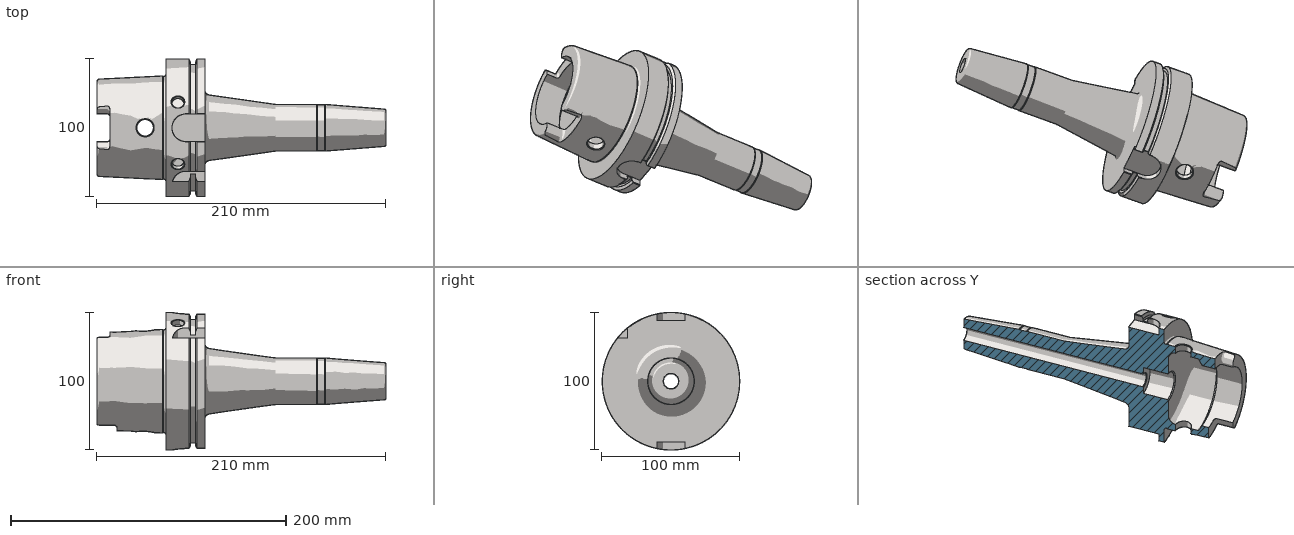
import cadquery as cq
import math


selection_margin = 1.0

total_length = 210.0
taper_end = 47.6
flange_start = 50.0
flange_end = 78.5
neck_cone_end = 129.8
nose_start = 165.9

taper_end_radius = 75.36 / 2
taper_slope = 0.0495
shank_tip_fillet = 2.0
relief_radius = 37.3
relief_chamfer = 0.8
root_fillet = 1.5

flange_radius = 50.0
groove_start = 66.7
groove_end = 72.8
groove_side_width = 1.2
groove_side_angle = 60.0
groove_radius = 46.0

neck_radius = 17.0
neck_cone_angle = 8.1
neck_fillet = 3.5
nose_tip_radius = 13.5
nose_fillet = 1.5
ring_width = 6.6
ring_side_width = 0.7
ring_depth = (34.0 - 33.49) / 2

bore_radius = 53.0 / 2
bore_straight_depth = 20.0
undercut_radius = 63.0 / 2
undercut_entry_angle = 60.0
undercut_end = 40.3
bore_floor_fillet = 6.3
thread_bore_radius = 22.38 / 2
thread_depth = 20.0
thread_bore_mouth_radius = 24.0 / 2
through_radius = 10.92 / 2
through_mouth_radius = 12.0 / 2

slot_half_width = 10.0
slot_edge_radius = 6.0
slot_edge_height = 32.0
slot_floor_fillet = 2.0
upper_slot_depth = 9.5
lower_slot_depth = 14.5

cross_hole_diameter = 12.0
cross_hole_x = 35.0
cross_hole_chamfer = 0.6

keyway_radius = 10.0
keyway_centre_x = 64.5
keyway_floor = 44.0
keyway_chamfer = 0.5
notch_wall_y = -31.6
notch_floor = 31.5

rim_hole_diameter = 9.0
rim_hole_point_angle = 118.0
rim_hole_depth = 4.6
rim_hole_x = 58.8
rim_hole_chamfer = 0.3
flat_hole_angle = 22.0
drilled_hole_angle = -32.0


def outer_body():
    """Turned outside of the holder. Every fillet meets its cone at a tangent."""
    tip_angle = math.atan(taper_slope)
    tip_tangent_x = shank_tip_fillet * (1 - math.sin(tip_angle))
    tip_tangent_radius = taper_end_radius - taper_slope * (taper_end - tip_tangent_x)
    tip_face_radius = tip_tangent_radius - shank_tip_fillet * math.cos(tip_angle)

    relief_start = taper_end + relief_chamfer
    groove_side_height = groove_side_width * math.tan(math.radians(groove_side_angle))
    groove_wall_radius = flange_radius - groove_side_height

    neck_angle = math.radians(neck_cone_angle)
    cone_start = flange_end + neck_fillet * (1 - math.sin(neck_angle))
    cone_start_radius = neck_radius + (neck_cone_end - cone_start) * math.tan(neck_angle)
    neck_root_radius = cone_start_radius + neck_fillet * math.cos(neck_angle)

    ring_end = nose_start
    ring_start = ring_end - ring_width
    nose_slope = (neck_radius - nose_tip_radius) / (total_length - nose_start)
    nose_angle = math.atan(nose_slope)
    nose_setback = nose_fillet * (1 - math.sin(nose_angle))
    nose_tangent_radius = nose_tip_radius + nose_slope * nose_setback
    nose_face_radius = nose_tangent_radius - nose_fillet * math.cos(nose_angle)

    profile = (
        cq.Workplane("XY")
        .moveTo(0, 0)
        .lineTo(0, tip_face_radius)
        .radiusArc((tip_tangent_x, tip_tangent_radius), shank_tip_fillet)
        .lineTo(taper_end, taper_end_radius)
        .lineTo(relief_start, relief_radius)
        .lineTo(flange_start - root_fillet, relief_radius)
        .radiusArc((flange_start, relief_radius + root_fillet), -root_fillet)
        .lineTo(flange_start, flange_radius)
        .lineTo(groove_start, flange_radius)
        .lineTo(groove_start + groove_side_width, groove_wall_radius)
        .lineTo(groove_start + groove_side_width, groove_radius)
        .lineTo(groove_end - groove_side_width, groove_radius)
        .lineTo(groove_end - groove_side_width, groove_wall_radius)
        .lineTo(groove_end, flange_radius)
        .lineTo(flange_end, flange_radius)
        .lineTo(flange_end, neck_root_radius)
        .radiusArc((cone_start, cone_start_radius), -neck_fillet)
        .lineTo(neck_cone_end, neck_radius)
        .lineTo(ring_start, neck_radius)
        .lineTo(ring_start + ring_side_width, neck_radius - ring_depth)
        .lineTo(ring_end - ring_side_width, neck_radius - ring_depth)
        .lineTo(ring_end, neck_radius)
        .lineTo(total_length - nose_setback, nose_tangent_radius)
        .radiusArc((total_length, nose_face_radius), nose_fillet)
        .lineTo(total_length, 0)
        .close()
    )
    return profile.revolve(360, (0, 0, 0), (1, 0, 0))


def axial_bores():
    """Clamping bore with undercut, threaded bore and through hole, as one turned cutter."""
    undercut_rise = undercut_radius - bore_radius
    undercut_start = bore_straight_depth + undercut_rise / math.tan(math.radians(undercut_entry_angle))
    bore_floor_x = undercut_end + bore_floor_fillet
    bore_floor_radius = undercut_radius - bore_floor_fillet
    thread_chamfer = thread_bore_mouth_radius - thread_bore_radius
    thread_bore_end = bore_floor_x + thread_depth
    through_chamfer = through_mouth_radius - through_radius
    profile = (
        cq.Workplane("XY")
        .moveTo(0, 0)
        .lineTo(0, bore_radius)
        .lineTo(bore_straight_depth, bore_radius)
        .lineTo(undercut_start, undercut_radius)
        .lineTo(undercut_end, undercut_radius)
        .radiusArc((bore_floor_x, bore_floor_radius), bore_floor_fillet)
        .lineTo(bore_floor_x, thread_bore_mouth_radius)
        .lineTo(bore_floor_x + thread_chamfer, thread_bore_radius)
        .lineTo(thread_bore_end, thread_bore_radius)
        .lineTo(thread_bore_end, through_mouth_radius)
        .lineTo(thread_bore_end + through_chamfer, through_radius)
        .lineTo(total_length, through_radius)
        .lineTo(total_length, 0)
        .close()
    )
    return profile.revolve(360, (0, 0, 0), (1, 0, 0))


def drive_slot(depth):
    """Slot across the upper side of the shank mouth with rounded outer edges."""
    outside = flange_radius
    edge_y = slot_half_width + slot_edge_radius
    wall_top = slot_edge_height - slot_edge_radius
    profile = (
        cq.Workplane("YZ")
        .moveTo(-slot_half_width, 0)
        .lineTo(-slot_half_width, wall_top)
        .radiusArc((-edge_y, slot_edge_height), -slot_edge_radius)
        .lineTo(-outside, slot_edge_height)
        .lineTo(-outside, outside)
        .lineTo(outside, outside)
        .lineTo(outside, slot_edge_height)
        .lineTo(edge_y, slot_edge_height)
        .radiusArc((slot_half_width, wall_top), -slot_edge_radius)
        .lineTo(slot_half_width, 0)
        .close()
    )
    cutter = profile.extrude(depth)
    walls = cq.selectors.BoxSelector(
        (depth - selection_margin, -edge_y, selection_margin),
        (depth + selection_margin, edge_y, slot_edge_height - selection_margin),
    )
    return cutter.edges(walls).fillet(slot_floor_fillet)


def flange_keyway(centre_y, floor):
    """Round-ended pocket, open to the neck side of the flange and upwards from its floor."""
    height = flange_radius - floor
    run_out = flange_end - keyway_centre_x
    end = (
        cq.Workplane("XY", origin=(keyway_centre_x, centre_y, floor))
        .circle(keyway_radius)
        .extrude(height)
    )
    straight = (
        cq.Workplane("XY", origin=(keyway_centre_x + run_out / 2, centre_y, floor))
        .rect(run_out, 2 * keyway_radius)
        .extrude(height)
    )
    return end.union(straight)


def keyway_mouth_chamfer():
    """Prism that breaks the two straight upper edges of a keyway on the axis."""
    edge_height = math.sqrt(flange_radius**2 - keyway_radius**2)
    top_half_width = keyway_radius + keyway_chamfer + flange_radius - edge_height
    profile = (
        cq.Workplane("YZ", origin=(keyway_centre_x, 0, 0))
        .moveTo(-keyway_radius, edge_height - keyway_chamfer)
        .lineTo(keyway_radius, edge_height - keyway_chamfer)
        .lineTo(top_half_width, flange_radius)
        .lineTo(-top_half_width, flange_radius)
        .close()
    )
    return profile.extrude(flange_end - keyway_centre_x)


def rim_hole(angle, point_depth):
    """Blind hole with a chamfered mouth and a conical point below its full-diameter depth."""
    radius = rim_hole_diameter / 2
    shoulder = flange_radius - rim_hole_depth
    mouth_height = math.sqrt(flange_radius**2 - radius**2)
    above = flange_radius + rim_hole_chamfer
    profile = (
        cq.Workplane("XZ", origin=(rim_hole_x, 0, 0))
        .moveTo(0, shoulder - point_depth)
        .lineTo(radius, shoulder)
        .lineTo(radius, mouth_height - rim_hole_chamfer)
        .lineTo(radius + above - mouth_height + rim_hole_chamfer, above)
        .lineTo(0, above)
        .close()
    )
    hole = profile.revolve(360, (0, 0, 0), (0, 1, 0))
    return hole.rotate((0, 0, 0), (1, 0, 0), -angle)


def cross_hole():
    return (
        cq.Workplane("XY", origin=(cross_hole_x, 0, 0))
        .circle(cross_hole_diameter / 2)
        .extrude(flange_radius, both=True)
    )


def cross_hole_mouths():
    """Selector for the two edges where the cross hole leaves the shank taper."""
    reach = cross_hole_diameter / 2 + selection_margin
    upper = cq.selectors.BoxSelector(
        (cross_hole_x - reach, -reach, undercut_radius + selection_margin),
        (cross_hole_x + reach, reach, flange_radius),
    )
    lower = cq.selectors.BoxSelector(
        (cross_hole_x - reach, -reach, -flange_radius),
        (cross_hole_x + reach, reach, -undercut_radius - selection_margin),
    )
    return upper + lower


def turned_over(shape):
    """The shape turned half a turn about the axis."""
    return shape.rotate((0, 0, 0), (1, 0, 0), 180)


result = outer_body().cut(axial_bores()).cut(cross_hole())
result = result.edges(cross_hole_mouths()).chamfer(cross_hole_chamfer)
result = result.cut(drive_slot(upper_slot_depth))
result = result.cut(turned_over(drive_slot(lower_slot_depth)))

keyway = flange_keyway(0, keyway_floor).union(keyway_mouth_chamfer())
result = result.cut(keyway).cut(turned_over(keyway))
result = result.cut(flange_keyway(notch_wall_y - keyway_radius, notch_floor))

drill_point_depth = rim_hole_diameter / 2 / math.tan(math.radians(rim_hole_point_angle / 2))
result = result.cut(rim_hole(flat_hole_angle, 0))
result = result.cut(rim_hole(drilled_hole_angle, drill_point_depth))